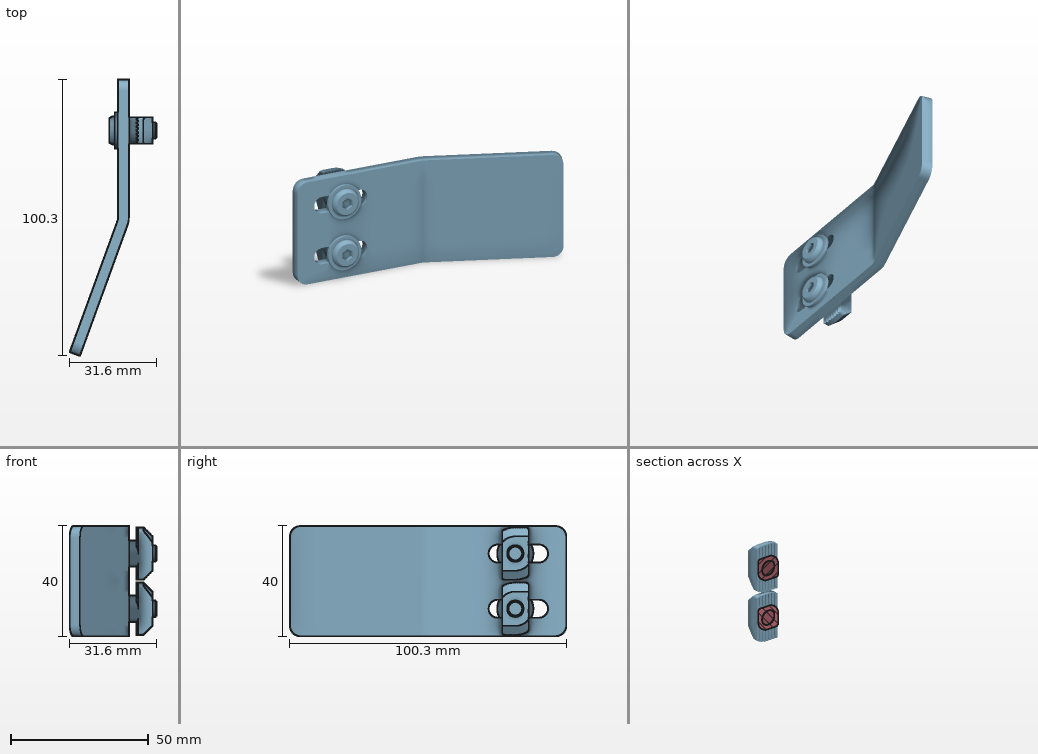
import cadquery as cq
import math


plate_thickness = 4.0
plate_height = 40.0
total_length = 100.3
flat_length = 50.0
bend_angle = 20.0
bend_inner_radius = 4.0
plate_corner_radius = 4.0

slot_width = 6.4
slot_length = 21.5
slot_edge_gap = 6.7
slot_spacing = plate_height / 2

screw_edge_distance = 18.5
shank_diameter = 6.0
tip_diameter = 4.9
shank_end = 14.0
flange_diameter = 13.2
flange_height = 1.2
head_height = 3.2
dome_base_diameter = 10.4
dome_top_diameter = 8.5
hex_width = 4.0
hex_depth = 1.7

nut_width = 9.6
nut_length = 19.1
neck_height = 2.7
nut_shoulder = 5.2
nut_height = 8.5
bar_fillet = 1.0
neck_fillet = 1.2
tooth_count = 7
tooth_pitch = nut_width / tooth_count
tooth_depth = tooth_pitch / 2

bend_outer_radius = bend_inner_radius + plate_thickness
bend = math.radians(bend_angle)
leg_drop = total_length - flat_length - bend_outer_radius * math.sin(bend)
leg_length = leg_drop / math.cos(bend)
slot_y = flat_length - slot_edge_gap - slot_length / 2
screw_y = flat_length - screw_edge_distance
fastener_heights = [-slot_spacing / 2, slot_spacing / 2]


def bend_point(radius, angle):
    """Point on the bend arc about its centre on the screw-head side of the plate."""
    return (radius * math.cos(angle) - bend_inner_radius, -radius * math.sin(angle))


def leg_end(radius):
    """Free end of the leg face that continues the bend arc of this radius."""
    x, y = bend_point(radius, bend)
    return (x - leg_length * math.sin(bend), y - leg_length * math.cos(bend))


def make_plate():
    plate = (
        cq.Workplane("XY")
        .workplane(offset=-plate_height / 2)
        .moveTo(0, flat_length)
        .lineTo(0, 0)
        .threePointArc(bend_point(bend_inner_radius, bend / 2), bend_point(bend_inner_radius, bend))
        .lineTo(*leg_end(bend_inner_radius))
        .lineTo(*leg_end(bend_outer_radius))
        .lineTo(*bend_point(bend_outer_radius, bend))
        .threePointArc(bend_point(bend_outer_radius, bend / 2), (plate_thickness, 0))
        .lineTo(plate_thickness, flat_length)
        .close()
        .extrude(plate_height)
    )
    plate = plate.faces(">Y").edges(">Z or <Z").fillet(plate_corner_radius)
    plate = plate.faces("<Y").edges(">Z or <Z").fillet(plate_corner_radius)
    slots = (
        cq.Workplane("YZ")
        .pushPoints([(slot_y, z) for z in fastener_heights])
        .slot2D(slot_length, slot_width)
        .extrude(plate_thickness)
    )
    return plate.cut(slots)


def make_screw():
    """Screw along +X with the underside of its flange at X = 0."""
    dome_base_radius = dome_base_diameter / 2
    dome_top_radius = dome_top_diameter / 2
    dome_height = head_height - flange_height
    dome_step = dome_base_radius - dome_top_radius
    dome_radius = (dome_step**2 + dome_height**2) / (2 * dome_step)
    half_sweep = math.asin(dome_height / dome_radius) / 2
    dome_middle = (
        -flange_height - dome_radius * math.sin(half_sweep),
        dome_base_radius - dome_radius * (1 - math.cos(half_sweep)),
    )
    tip_chamfer = (shank_diameter - tip_diameter) / 2
    screw = (
        cq.Workplane("XY")
        .moveTo(-head_height, 0)
        .lineTo(-head_height, dome_top_radius)
        .threePointArc(dome_middle, (-flange_height, dome_base_radius))
        .lineTo(-flange_height, flange_diameter / 2)
        .lineTo(0, flange_diameter / 2)
        .lineTo(0, shank_diameter / 2)
        .lineTo(shank_end - tip_chamfer, shank_diameter / 2)
        .lineTo(shank_end, tip_diameter / 2)
        .lineTo(shank_end, 0)
        .close()
        .revolve(360, (0, 0, 0), (1, 0, 0))
    )
    hex_socket = (
        cq.Workplane("YZ")
        .workplane(offset=-head_height)
        .polygon(6, hex_width, circumscribed=True)
        .extrude(hex_depth)
    )
    return screw.cut(hex_socket)


def make_nut_bar():
    """Clamping bar that can swing in the rail: two opposite corners round, two square."""
    half_length = nut_length / 2
    half_width = nut_width / 2
    end_half_length = half_length - (nut_height - nut_shoulder)
    half_profile = [
        (neck_height, 0),
        (neck_height, half_length),
        (nut_shoulder, half_length),
        (nut_height, end_half_length),
        (nut_height, 0),
    ]
    round_body = cq.Workplane("XZ").polyline(half_profile).close().revolve(360, (0, 0, 0), (1, 0, 0))
    strip = cq.Workplane("XY").box(nut_height, nut_width, nut_length, centered=(False, True, True))
    bar = round_body.intersect(strip)
    square_corner = cq.Workplane("XZ").polyline(half_profile).close().extrude(-half_width)
    bar = bar.union(square_corner)
    bar = bar.union(square_corner.rotate((0, 0, 0), (1, 0, 0), 180))
    bar = bar.faces("<Y or >Y").edges("|X").fillet(bar_fillet)

    for gap in range(tooth_count + 1):
        gap_y = (gap - tooth_count / 2) * tooth_pitch
        groove = (
            cq.Workplane("XY")
            .workplane(offset=-half_length)
            .moveTo(neck_height, gap_y - tooth_pitch / 2)
            .lineTo(neck_height + tooth_depth, gap_y)
            .lineTo(neck_height, gap_y + tooth_pitch / 2)
            .close()
            .extrude(nut_length)
        )
        bar = bar.cut(groove)
    return bar


def make_nut():
    """Slot nut along +X with its neck resting on the plate at X = 0."""
    half_width = nut_width / 2
    neck_end = neck_height + tooth_depth
    neck = cq.Workplane("YZ").circle(half_width).extrude(neck_end)
    for turn in (0, 180):
        square_corner = (
            cq.Workplane("YZ")
            .rect(half_width, half_width, centered=False)
            .extrude(neck_end)
            .edges("|X and >Y and >Z")
            .fillet(neck_fillet)
            .rotate((0, 0, 0), (1, 0, 0), turn)
        )
        neck = neck.union(square_corner)
    nut = make_nut_bar().union(neck)
    bore = cq.Workplane("YZ").circle(shank_diameter / 2).extrude(nut_height)
    return nut.cut(bore)


plate = make_plate()
screws = []
nuts = []
for height in fastener_heights:
    screws.append(make_screw().translate((0, screw_y, height)))
    nuts.append(make_nut().translate((plate_thickness, screw_y, height)))

result = cq.Compound.makeCompound(
    [plate.val(), *[screw.val() for screw in screws], *[nut.val() for nut in nuts]]
)